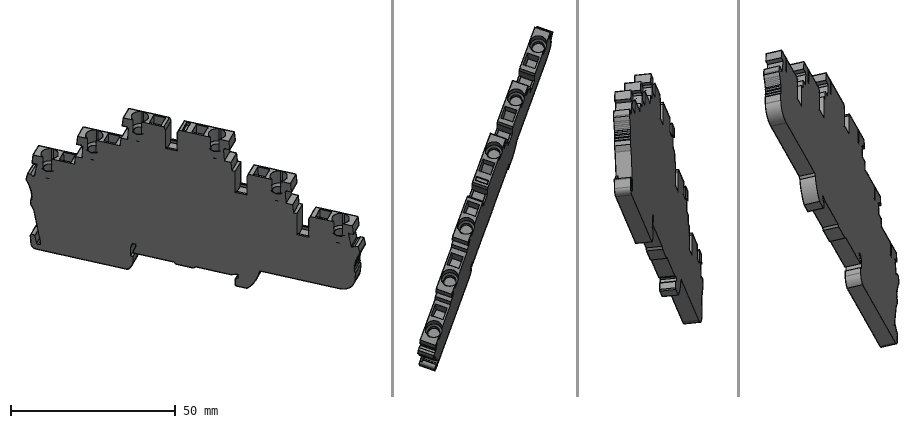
import cadquery as cq
import math

LENGTH = 107.66
WIDTH = 5.0
HEIGHT = 58.0

TIER_STEP = 11.0
TIER_TOPS = [HEIGHT - 2 * TIER_STEP, HEIGHT - TIER_STEP, HEIGHT]
LEFT_ENDS = [2.2, 16.6, 31.3]
RIGHT_ENDS = [105.3, 85.3, 65.4]

UPPER_NOTCH = [
    (0.0, 0.0), (0.35, -3.2), (-1.2, -3.2), (-1.7, -3.8),
    (-1.4, -7.9), (0.7, -8.0), (1.0, -TIER_STEP),
]
LOWER_NOTCH = [
    (0.0, 0.0), (0.35, -3.2), (-1.3, -3.3), (-0.4, -8.0), (-0.1, -8.3), (0.8, -7.6),
]
NOSE = [(0.5, -7.6), (0.0, -9.7), (0.0, -10.2)]

SLOT_WIDTH = 3.75
SLOT_DEPTH = 8.1
SLOT_CHAMFER_X = 0.55
SLOT_CHAMFER_Z = 1.1
SLOT_STARTS = [87.4, 67.45, 45.0]
SLOT_POCKET_DEPTH = 1.0

MARK_X = 50.2
MARK_LENGTH = 1.2
MARK_DEPTH = 1.0

SCREW_INSET = 4.6
SCREW_RADIUS = 2.6
SCREW_CENTRE_Y = 2.2
SCREW_DEPTH = 5.35
SCREW_CHAMFER = 0.7
SHAFT_DEPTH = 8.0
KEYWAY_WIDTH = 0.6
KEYWAY_DEPTH = 4.1
KEYWAY_FAR_Y = 4.85
FUNNEL_INSET = 10.2
FUNNEL_SIZE = 3.8
FUNNEL_DEPTH = 6.0
FUNNEL_TAPER = 4.0
FUNNEL_SLOPE = 27.0

RIB_COUNT = 6
RIB_DEPTH = 0.25
RIB_TOP_Z = 24.6
RIB_BOTTOM_Z = 18.2
RIB_START_INSET = 0.65
RIB_CURVE_SAG = 1.0
RIB_CURVE_ANGLE = 0.75 * math.pi

END_WALL_X = 106.1
BELLY_Z = 10.7
CORNER_RADIUS = 5.0

CLAW_Z = 2.9
CLAW_ROOT = (75.7, BELLY_Z)
CLAW_BACK_TOP = (75.1, 9.9)
CLAW_BACK_MIDDLE = (73.6, 5.8)
CLAW_BACK_BOTTOM = (71.3, CLAW_Z)
CLAW_FRONT = [(67.8, CLAW_Z), (67.45, 3.3), (67.45, 5.5), (68.4, 6.2), (68.4, 7.2), (68.0, 7.5)]

RAIL_Z = 6.8
PAD_Z = 6.15
RAIL_SEAT = [
    (66.2, RAIL_Z), (54.7, RAIL_Z), (54.1, PAD_Z), (48.4, PAD_Z), (47.7, RAIL_Z), (34.6, RAIL_Z),
]

RELIEF_SLOT = [(34.6, 7.6), (35.3, 9.6), (35.3, 10.4), (34.6, 10.4)]
RELIEF_ARC_MIDDLE = (33.9, 9.4)
RELIEF_ARC_END = (33.7, 8.3)
FOOT_EDGE = [(33.7, 5.6), (34.45, 5.4), (34.45, 3.3)]
FOOT_ARC_MIDDLE = (34.0, 1.6)
FOOT_RIGHT_X = 32.7
FOOT_LEFT_X = 3.3
FOOT_RADIUS = 1.8
HOOK_TOP_LEFT = (1.3, 4.7)
HOOK_TOP_MIDDLE = (2.1, 5.4)
HOOK_TOP_RIGHT = (2.8, 5.0)
HOOK_GAP = [(3.4, 2.3), (3.9, 1.9), (4.6, 2.1), (4.6, 3.2)]
FLANK_TOP = (2.4, 15.0)
FLANK_BEND = (1.5, 16.7)
WEB_THICKNESS = 0.7
WEB_OUTLINE = [(3.7, 7.4), HOOK_TOP_MIDDLE, (2.4, 2.0), (5.0, 1.5), (5.0, 3.0)]


def flank(end_x, top_z, notch, side):
    """Notch points below a tier end, from the tier down; side is +1 right, -1 left."""
    return [(end_x + side * out, top_z + dz) for out, dz in notch]


def nose_and_ribs(tip_x, side):
    """Nose, then a sawtooth of grip ribs along a concave curve, from the top down."""
    points = [(tip_x - side * inset, TIER_TOPS[0] + dz) for inset, dz in NOSE]
    pitch = (RIB_TOP_Z - RIB_BOTTOM_Z) / RIB_COUNT
    for i in range(RIB_COUNT + 1):
        inset = RIB_START_INSET + RIB_CURVE_SAG * math.sin(RIB_CURVE_ANGLE * i / RIB_COUNT)
        z = RIB_TOP_Z - i * pitch
        points.append((tip_x - side * inset, z))
        if i < RIB_COUNT:
            points.append((tip_x - side * (inset + RIB_DEPTH), z - pitch / 2))
    return points


def slot(start_x, top_z):
    """Label slot floor, far wall and the chamfered edge of the tier beside it."""
    end_x = start_x + SLOT_WIDTH
    floor_z = top_z - SLOT_DEPTH
    return [
        (start_x, floor_z), (end_x, floor_z),
        (end_x, top_z - SLOT_CHAMFER_Z), (end_x + SLOT_CHAMFER_X, top_z),
    ]


def upper_outline():
    """Outline above the foot, from the left ribs over the tiers to the right ribs."""
    left = flank(LEFT_ENDS[2], TIER_TOPS[2], UPPER_NOTCH, -1)
    left += flank(LEFT_ENDS[1], TIER_TOPS[1], UPPER_NOTCH, -1)
    left += flank(LEFT_ENDS[0], TIER_TOPS[0], LOWER_NOTCH, -1)
    left += nose_and_ribs(0.0, -1)

    low_slot, middle_slot, top_slot = SLOT_STARTS
    right = [(top_slot - SLOT_CHAMFER_X, HEIGHT), (top_slot, HEIGHT - SLOT_CHAMFER_Z)]
    right += slot(top_slot, TIER_TOPS[2])
    right += flank(RIGHT_ENDS[2], TIER_TOPS[2], UPPER_NOTCH, 1)
    right += [(middle_slot, TIER_TOPS[1])] + slot(middle_slot, TIER_TOPS[1])
    right += flank(RIGHT_ENDS[1], TIER_TOPS[1], UPPER_NOTCH, 1)
    right += [(low_slot, TIER_TOPS[0])] + slot(low_slot, TIER_TOPS[0])
    right += flank(RIGHT_ENDS[0], TIER_TOPS[0], LOWER_NOTCH, 1)
    right += nose_and_ribs(LENGTH, 1)
    return left[::-1] + right


def add_lines(sketch, points):
    for x, z in points:
        sketch = sketch.lineTo(x, z)
    return sketch


def body():
    """Plate with the full outline, drawn clockwise from the bottom of the foot."""
    sketch = cq.Workplane("XZ").moveTo(FOOT_LEFT_X, 0.0)
    sketch = sketch.radiusArc((FOOT_LEFT_X - FOOT_RADIUS, FOOT_RADIUS), FOOT_RADIUS)
    sketch = sketch.lineTo(*HOOK_TOP_LEFT).threePointArc(HOOK_TOP_MIDDLE, HOOK_TOP_RIGHT)
    sketch = add_lines(sketch, HOOK_GAP + [FLANK_TOP, FLANK_BEND] + upper_outline())

    corner_top = (END_WALL_X, BELLY_Z + CORNER_RADIUS)
    corner_bottom = (END_WALL_X - CORNER_RADIUS, BELLY_Z)
    sketch = sketch.lineTo(*corner_top).radiusArc(corner_bottom, CORNER_RADIUS)

    sketch = add_lines(sketch, [CLAW_ROOT, CLAW_BACK_TOP])
    sketch = sketch.threePointArc(CLAW_BACK_MIDDLE, CLAW_BACK_BOTTOM)
    sketch = add_lines(sketch, CLAW_FRONT + RAIL_SEAT + RELIEF_SLOT)
    sketch = sketch.threePointArc(RELIEF_ARC_MIDDLE, RELIEF_ARC_END)
    sketch = add_lines(sketch, FOOT_EDGE)
    sketch = sketch.threePointArc(FOOT_ARC_MIDDLE, (FOOT_RIGHT_X, 0.0))
    return sketch.close().extrude(-WIDTH)


def hook_web():
    """Thin wall closing the gap behind the foot hook, flush with the +Y face."""
    return (
        cq.Workplane("XZ", origin=(0, WIDTH, 0))
        .polyline(WEB_OUTLINE)
        .close()
        .extrude(WEB_THICKNESS)
    )


def sunk_box(centre_x, length, near_y, far_y, top_z, depth):
    """Box cutter between two Y positions, sunk from top_z."""
    return (
        cq.Workplane("XY", origin=(centre_x, (near_y + far_y) / 2, top_z))
        .rect(length, far_y - near_y)
        .extrude(-depth)
    )


def screw_hole(centre_x, top_z):
    """Bore through the open face with a keyway in its back and a narrower shaft below."""
    bore = (
        cq.Workplane("XY", origin=(centre_x, SCREW_CENTRE_Y, top_z))
        .circle(SCREW_RADIUS)
        .extrude(-SCREW_DEPTH)
        .faces("<Z")
        .chamfer(SCREW_CHAMFER)
    )
    keyway = sunk_box(centre_x, KEYWAY_WIDTH, SCREW_CENTRE_Y, KEYWAY_FAR_Y, top_z, KEYWAY_DEPTH)
    shaft = (
        cq.Workplane("XY", origin=(centre_x, SCREW_CENTRE_Y, top_z))
        .circle(SCREW_RADIUS - SCREW_CHAMFER)
        .extrude(-SHAFT_DEPTH)
    )
    return bore.union(keyway).union(shaft)


def funnel(centre_x, top_z, inward, slope):
    """Square tapered wire entry; its floor falls by slope degrees in the inward X direction."""
    hole = (
        cq.Workplane("XY", origin=(centre_x, WIDTH / 2, top_z))
        .rect(FUNNEL_SIZE, FUNNEL_SIZE)
        .extrude(-FUNNEL_DEPTH, taper=FUNNEL_TAPER)
    )
    if slope == 0:
        return hole
    low_x = centre_x + inward * FUNNEL_SIZE / 2
    high_x = centre_x - inward * FUNNEL_SIZE / 2
    floor_z = top_z - FUNNEL_DEPTH
    rise = FUNNEL_SIZE * math.tan(math.radians(slope))
    wedge = (
        cq.Workplane("XZ")
        .polyline([(low_x, floor_z), (high_x, floor_z), (high_x, floor_z + rise)])
        .close()
        .extrude(-WIDTH)
    )
    return hole.cut(wedge)


result = body().union(hook_web())

for ends, inward, slopes in [
    (LEFT_ENDS, 1, [FUNNEL_SLOPE, FUNNEL_SLOPE, FUNNEL_SLOPE]),
    (RIGHT_ENDS, -1, [0, FUNNEL_SLOPE, FUNNEL_SLOPE]),
]:
    for end_x, top_z, slope in zip(ends, TIER_TOPS, slopes):
        result = result.cut(screw_hole(end_x + inward * SCREW_INSET, top_z))
        result = result.cut(funnel(end_x + inward * FUNNEL_INSET, top_z, inward, slope))

pocket_near_y = (WIDTH - FUNNEL_SIZE) / 2
pocket_far_y = WIDTH - pocket_near_y
for start_x, top_z in zip(SLOT_STARTS, TIER_TOPS):
    centre_x = start_x + SLOT_WIDTH / 2
    floor_z = top_z - SLOT_DEPTH
    result = result.cut(
        sunk_box(centre_x, SLOT_WIDTH, pocket_near_y, pocket_far_y, floor_z, SLOT_POCKET_DEPTH)
    )

mark_centre_x = MARK_X + MARK_LENGTH / 2
result = result.cut(
    sunk_box(mark_centre_x, MARK_LENGTH, pocket_near_y, pocket_far_y, HEIGHT, MARK_DEPTH)
)